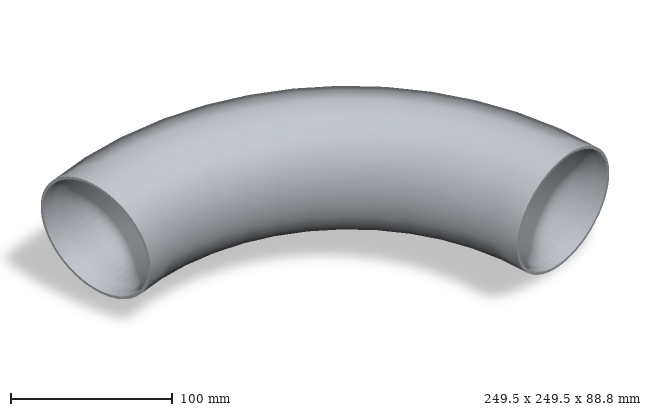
import cadquery as cq

overall_length = 249.5
outer_diameter = 88.8
wall_thickness = 2.0
bend_angle = 90

outer_radius = outer_diameter / 2
inner_radius = outer_radius - wall_thickness
bend_radius = overall_length - outer_radius

ring = cq.Workplane("XZ").circle(outer_radius).circle(inner_radius)

axis_start = (bend_radius, outer_radius)
axis_end = (bend_radius, -outer_radius)
result = ring.revolve(bend_angle, axis_start, axis_end)